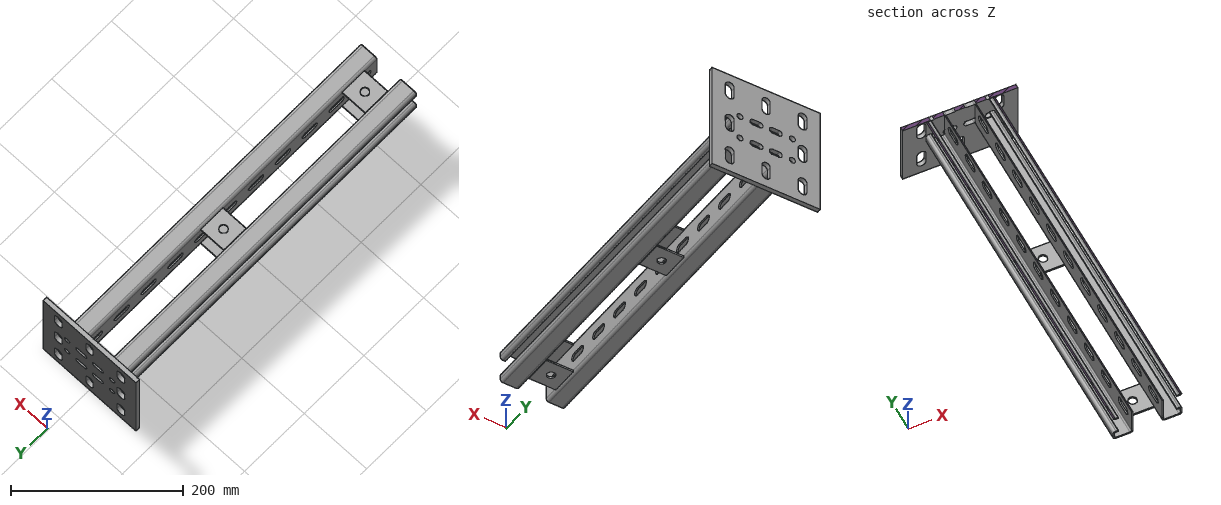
import cadquery as cq

TOTAL_LENGTH = 501.0
PLATE_SIZE = 149.0
PLATE_THICKNESS = 6.0
PLATE_SLOT_PITCH = 50.0
PLATE_SLOT_LENGTH = 25.0
OUTER_SLOT_WIDTH = 12.0
MIDDLE_SLOT_WIDTH = 11.0

CORNER_OPENING_Z = 16.5
CORNER_OPENING_HEIGHT = 8.0
CORNER_HOLE_X = 36.0
CORNER_SLOT_INNER_X = 4.5
CORNER_SLOT_OUTER_X = 22.0

CHANNEL_HEIGHT = 47.5
CHANNEL_GAP = 37.0
CHANNEL_WIDTH = 26.0
CHANNEL_LENGTH = TOTAL_LENGTH - PLATE_THICKNESS
SHEET_THICKNESS = 2.0
BEND_RADIUS = 4.0
LIP_HEIGHT = 13.0
RETURN_WIDTH = 7.0

WEB_SLOT_COUNT = 11
WEB_SLOT_PITCH = CHANNEL_LENGTH / WEB_SLOT_COUNT
WEB_SLOT_LENGTH = 25.0
WEB_SLOT_HEIGHT = 11.0

STRAP_LENGTH = 37.5
STRAP_THICKNESS = 2.5
STRAP_TOP_Z = 22.0
STRAP_HOLE_DIAMETER = 11.0
STRAP_END_DISTANCE = 39.5
STRAP_PITCH = 237.0

MIRROR_SIDES = (-1, 1)


def make_plate():
    """Square plate with a 3 x 3 grid of upright slots, less the centre one, and corner openings."""
    plate = cq.Workplane("XZ").rect(PLATE_SIZE, PLATE_SIZE).extrude(PLATE_THICKNESS)
    for column in (-1, 0, 1):
        width = OUTER_SLOT_WIDTH if column else MIDDLE_SLOT_WIDTH
        rows = (-1, 0, 1) if column else (-1, 1)
        centres = [(column * PLATE_SLOT_PITCH, row * PLATE_SLOT_PITCH) for row in rows]
        slots = cq.Workplane("XZ").pushPoints(centres).slot2D(PLATE_SLOT_LENGTH, width, angle=90)
        plate = plate.cut(slots.extrude(PLATE_THICKNESS))
    return plate.cut(make_corner_openings())


def make_corner_openings():
    """Cutters for a round hole and a lying slot at each channel corner."""
    corners = [(x, z) for x in MIRROR_SIDES for z in MIRROR_SIDES]
    slot_x = (CORNER_SLOT_INNER_X + CORNER_SLOT_OUTER_X) / 2
    holes = cq.Workplane("XZ").pushPoints([(x * CORNER_HOLE_X, z * CORNER_OPENING_Z) for x, z in corners])
    slots = cq.Workplane("XZ").pushPoints([(x * slot_x, z * CORNER_OPENING_Z) for x, z in corners])
    slot_length = CORNER_SLOT_OUTER_X - CORNER_SLOT_INNER_X
    hole_cutters = holes.circle(CORNER_OPENING_HEIGHT / 2).extrude(PLATE_THICKNESS)
    slot_cutters = slots.slot2D(slot_length, CORNER_OPENING_HEIGHT).extrude(PLATE_THICKNESS)
    return hole_cutters.union(slot_cutters)


def make_c_bar(inset):
    """Solid bar with a mouth on its +X side and rounded bends, all faces moved in by the inset."""
    web_x = CHANNEL_GAP / 2 + inset
    open_x = CHANNEL_GAP / 2 + CHANNEL_WIDTH - inset
    mouth_x = CHANNEL_GAP / 2 + CHANNEL_WIDTH - RETURN_WIDTH
    half_height = CHANNEL_HEIGHT / 2 - inset
    half_mouth = CHANNEL_HEIGHT / 2 - LIP_HEIGHT + inset
    outline = [
        (web_x, -half_height),
        (open_x, -half_height),
        (open_x, -half_mouth),
        (mouth_x, -half_mouth),
        (mouth_x, half_mouth),
        (open_x, half_mouth),
        (open_x, half_height),
        (web_x, half_height),
    ]
    bar = cq.Workplane("XZ", origin=(0, -PLATE_THICKNESS, 0)).polyline(outline).close()
    return bar.extrude(CHANNEL_LENGTH).edges("|Y and (<X or >X)").fillet(BEND_RADIUS - inset)


def make_web_slots():
    """Cutters for the row of slots along the web, centred along the channel."""
    web_middle = (0, -PLATE_THICKNESS - CHANNEL_LENGTH / 2, 0)
    return (
        cq.Workplane("YZ", origin=web_middle)
        .rarray(WEB_SLOT_PITCH, 5, WEB_SLOT_COUNT, 1)
        .slot2D(WEB_SLOT_LENGTH, WEB_SLOT_HEIGHT)
        .extrude(CHANNEL_GAP / 2 + SHEET_THICKNESS)
    )


def make_channel(side):
    """Bent-sheet channel with its web towards X = 0, on the +X (1) or -X (-1) side."""
    channel = make_c_bar(0).cut(make_c_bar(SHEET_THICKNESS)).cut(make_web_slots())
    return channel if side > 0 else channel.mirror("YZ")


def make_strap(centre_y, face):
    """Flat strap with a central hole, near the top (1) or bottom (-1) of the channels."""
    centre_z = face * (STRAP_TOP_Z - STRAP_THICKNESS / 2)
    return (
        cq.Workplane("XY", origin=(0, centre_y, centre_z))
        .box(CHANNEL_GAP, STRAP_LENGTH, STRAP_THICKNESS)
        .faces(">Z")
        .workplane()
        .hole(STRAP_HOLE_DIAMETER)
    )


plate = make_plate()
channels = [make_channel(side) for side in MIRROR_SIDES]
front_strap_y = -TOTAL_LENGTH + STRAP_END_DISTANCE
straps = [
    make_strap(centre_y, face)
    for centre_y in (front_strap_y, front_strap_y + STRAP_PITCH)
    for face in MIRROR_SIDES
]

bodies = [plate, *channels, *straps]
result = cq.Compound.makeCompound([body.val() for body in bodies])